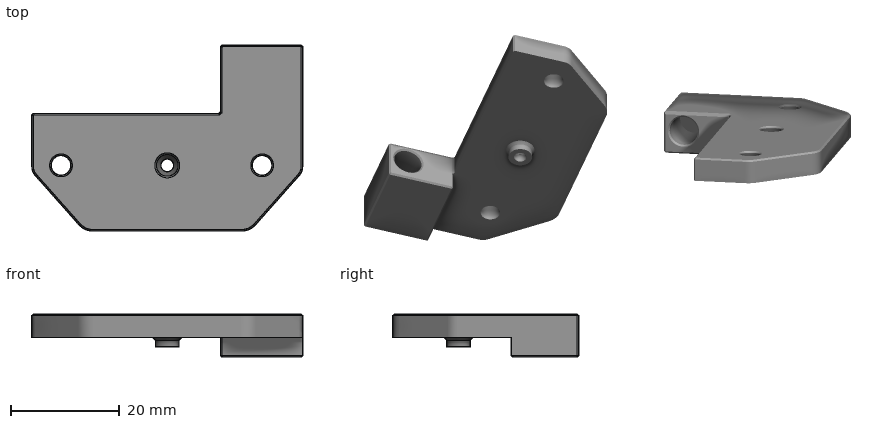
import cadquery as cq

length = 49.8
total_depth = 34.2
total_height = 7.9
plate_depth = 21.65
plate_thickness = 4.35
corner_run = 9.7
corner_rise = 10.95
front_corner_radius = 3.5
side_corner_radius = 2.5
edge_chamfer = 0.3

arm_left = 34.65
arm_front = 21.75
arm_drop = total_height - plate_thickness
arm_bevel_height = 0.6
arm_width = length - arm_left
arm_depth = total_depth - arm_front

bore_diameter = 5.3
bore_depth = 9.95
bore_y = total_depth - 3.7
bore_z = plate_thickness - 3.65

hole_row_y = 12.1
side_hole_diameter = 3.6
left_hole_x = 5.4
right_hole_x = 42.35
center_x = length / 2
center_hole_diameter = 4.0
pilot_diameter = 2.3
pilot_cone_depth = 0.85

boss_diameter = 4.35
boss_base_diameter = 5.3
boss_flare_height = 0.5
boss_height = 1.7


def vertical_edge_at(x, y):
    reach = 0.05
    low = (x - reach, y - reach, -total_height)
    high = (x + reach, y + reach, total_height)
    return cq.selectors.BoxSelector(low, high)


def make_plate():
    outline = [
        (corner_run, 0),
        (length - corner_run, 0),
        (length, corner_rise),
        (length, total_depth),
        (arm_left, total_depth),
        (arm_left, plate_depth),
        (0, plate_depth),
        (0, corner_rise),
    ]
    return cq.Workplane("XY").polyline(outline).close().extrude(plate_thickness)


def finish_plate_corners(plate):
    for x in (corner_run, length - corner_run):
        plate = plate.edges(vertical_edge_at(x, 0)).fillet(front_corner_radius)
    for x in (0, length):
        plate = plate.edges(vertical_edge_at(x, corner_rise)).fillet(side_corner_radius)
    back_corners = [(0, plate_depth), (arm_left, plate_depth), (arm_left, total_depth), (length, total_depth)]
    for x, y in back_corners:
        plate = plate.edges(vertical_edge_at(x, y)).chamfer(edge_chamfer)
    return plate.faces(">Z").edges().chamfer(edge_chamfer)


def make_arm_block():
    block = (
        cq.Workplane("XY")
        .workplane(offset=-arm_drop)
        .moveTo(arm_left, arm_front)
        .rect(arm_width, arm_depth, centered=False)
        .extrude(arm_drop)
    )
    for x, y in [(arm_left, arm_front), (arm_left, total_depth), (length, total_depth)]:
        block = block.edges(vertical_edge_at(x, y)).chamfer(edge_chamfer)
    return block.faces("<Z").edges().chamfer(edge_chamfer)


def make_arm_bevel():
    """Wedge that steepens the bevel along the arm's top left edge."""
    return (
        cq.Workplane("XZ", origin=(arm_left, total_depth, plate_thickness))
        .polyline([(0, 0), (edge_chamfer, 0), (0, -arm_bevel_height)])
        .close()
        .extrude(arm_depth)
    )


def revolve_profile(x, y, profile):
    """Solid of (radius, height) points turned about the vertical line through x, y."""
    return (
        cq.Workplane("XZ", origin=(x, y, 0))
        .polyline(profile)
        .close()
        .revolve(360, (0, 0), (0, 1))
    )


def make_boss():
    profile = [
        (0, 0),
        (boss_base_diameter / 2, 0),
        (boss_diameter / 2, -boss_flare_height),
        (boss_diameter / 2, -boss_height),
        (0, -boss_height),
    ]
    return revolve_profile(center_x, hole_row_y, profile)


def make_chamfered_hole(x, diameter, bottom, tip_points):
    """Hole with a beveled mouth; tip_points close its lower end back to the axis."""
    radius = diameter / 2
    profile = [
        (0, plate_thickness),
        (radius + edge_chamfer, plate_thickness),
        (radius, plate_thickness - edge_chamfer),
        (radius, bottom),
    ] + tip_points
    return revolve_profile(x, hole_row_y, profile)


def make_side_hole(x):
    return make_chamfered_hole(x, side_hole_diameter, 0, [(0, 0)])


def make_center_hole():
    pilot_radius = pilot_diameter / 2
    tip = [(pilot_radius, 0), (pilot_radius, -boss_height), (0, -boss_height)]
    return make_chamfered_hole(center_x, center_hole_diameter, pilot_cone_depth, tip)


def make_bore():
    bore_radius = bore_diameter / 2
    profile = [
        (0, 0),
        (0, bore_radius + edge_chamfer),
        (edge_chamfer, bore_radius),
        (bore_depth, bore_radius),
        (bore_depth, 0),
    ]
    return (
        cq.Workplane("XZ", origin=(arm_left, bore_y, bore_z))
        .polyline(profile)
        .close()
        .revolve(360, (0, 0), (1, 0))
    )


result = finish_plate_corners(make_plate())
result = result.cut(make_arm_bevel())
result = result.union(make_arm_block()).union(make_boss())
for hole_x in (left_hole_x, right_hole_x):
    result = result.cut(make_side_hole(hole_x))
result = result.cut(make_center_hole()).cut(make_bore())